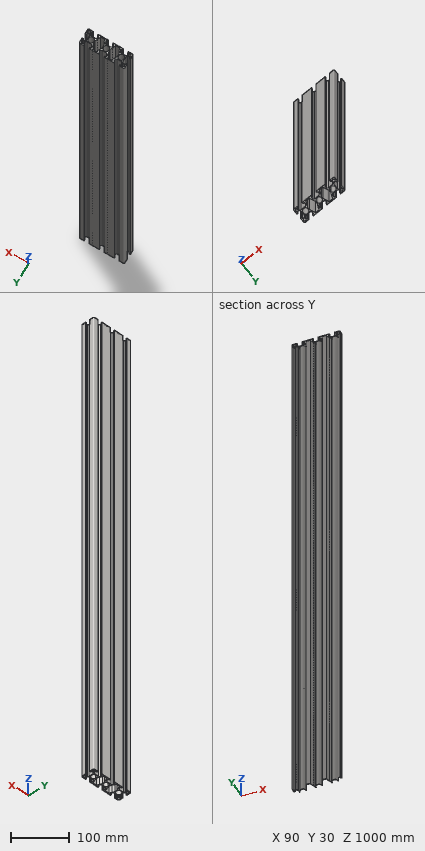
import cadquery as cq

CELL = 30.0
CELL_COUNT = 3
LENGTH = 1000.0
CORNER_RADIUS = 2.1

SLOT_OPENING = 9.6
LIP_THICKNESS = 2.6
SLOT_HALF_WIDTH = 7.4
SLOT_SIDE_DEPTH = 6.7
SLOT_FLOOR_WIDTH = 9.4
SLOT_DEPTH = 8.6

JOINT_HALF_WIDTH = 8.5
JOINT_FLAT_HALF_HEIGHT = 2.3
JOINT_SHOULDER_HALF_WIDTH = 5.2
JOINT_SHOULDER_HALF_HEIGHT = 9.3
JOINT_END_HALF_WIDTH = 4.2
JOINT_WALL = 2.0

CORE_BORE_DIAMETER = 11.0
CORNER_BORE_DIAMETER = 5.0
CORNER_BORE_INSET = 4.5

HALF_DEPTH = CELL / 2
HALF_WIDTH = CELL * CELL_COUNT / 2
CELL_CENTERS = [CELL * (i + 0.5) - HALF_WIDTH for i in range(CELL_COUNT)]
JOINT_CENTERS = [x + CELL / 2 for x in CELL_CENTERS[:-1]]


def prism(points):
    """Extrude a closed polygon over the full length of the bar."""
    return cq.Workplane("XY").polyline(points).close().extrude(LENGTH)


def blank():
    """Solid bar with its four long corners rounded."""
    bar = cq.Workplane("XY").rect(2 * HALF_WIDTH, 2 * HALF_DEPTH).extrude(LENGTH)
    return bar.edges("|Z").fillet(CORNER_RADIUS)


def t_slot(x, y, angle):
    """T-slot cutter with its mouth at (x, y); at angle 0 it opens toward +Y."""
    right_side = [
        (SLOT_OPENING / 2, 0),
        (SLOT_OPENING / 2, -LIP_THICKNESS),
        (SLOT_HALF_WIDTH, -LIP_THICKNESS),
        (SLOT_HALF_WIDTH, -SLOT_SIDE_DEPTH),
        (SLOT_FLOOR_WIDTH / 2, -SLOT_DEPTH),
    ]
    left_side = [(-across, inward) for across, inward in reversed(right_side)]
    cutter = prism(right_side + left_side)
    return cutter.rotate((0, 0, 0), (0, 0, 1), angle).translate((x, y, 0))


def joint_channel(x):
    """Closed channel centred at (x, 0), tapering toward the outer walls."""
    quadrant = [
        (JOINT_HALF_WIDTH, JOINT_FLAT_HALF_HEIGHT),
        (JOINT_SHOULDER_HALF_WIDTH, JOINT_SHOULDER_HALF_HEIGHT),
        (JOINT_END_HALF_WIDTH, HALF_DEPTH - JOINT_WALL),
    ]
    upper_half = quadrant + [(-px, py) for px, py in reversed(quadrant)]
    lower_half = [(-px, -py) for px, py in upper_half]
    return prism(upper_half + lower_half).translate((x, 0, 0))


def bores(centers, diameter):
    """Round bores through the full length at the given XY centres."""
    return cq.Workplane("XY").pushPoints(centers).circle(diameter / 2).extrude(LENGTH)


result = blank()

for x in CELL_CENTERS:
    result = result.cut(t_slot(x, HALF_DEPTH, 0))
    result = result.cut(t_slot(x, -HALF_DEPTH, 180))
result = result.cut(t_slot(-HALF_WIDTH, 0, 90))
result = result.cut(t_slot(HALF_WIDTH, 0, -90))

for x in JOINT_CENTERS:
    result = result.cut(joint_channel(x))

result = result.cut(bores([(x, 0) for x in CELL_CENTERS], CORE_BORE_DIAMETER))
corner_x = HALF_WIDTH - CORNER_BORE_INSET
corner_y = HALF_DEPTH - CORNER_BORE_INSET
corners = [(sx * corner_x, sy * corner_y) for sx in (-1, 1) for sy in (-1, 1)]
result = result.cut(bores(corners, CORNER_BORE_DIAMETER))